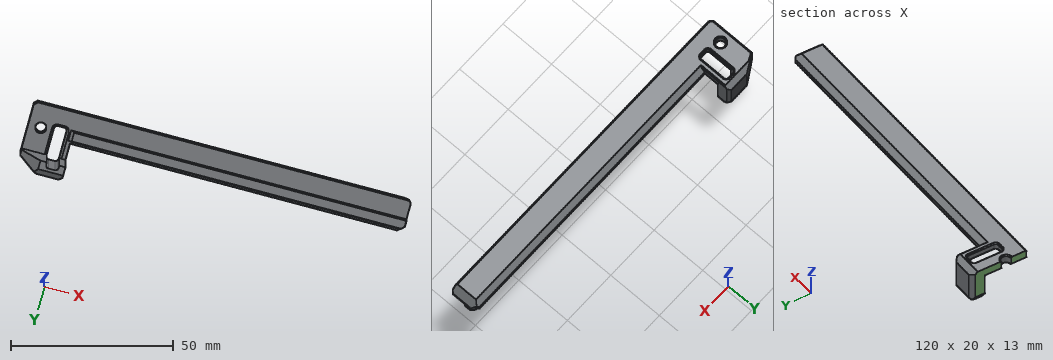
import cadquery as cq

LENGTH = 120.0
HEIGHT = 13.0
PLATE_THICKNESS = 3.0

RAIL_OVERHANG = 0.1
BAR_END_X = LENGTH - RAIL_OVERHANG
BAR_WIDTH = 10.0
HEAD_LENGTH = 14.0
HEAD_WIDTH = 20.0

EDGE_CHAMFER = 0.4
FRONT_CORNER_CHAMFER = 1.0
REAR_BEVEL_WIDTH = 2.0
REAR_BEVEL_DEPTH = 1.75
TIP_BEVEL = 2.5
TIP_FRONT_CORNER = 0.85
TIP_REAR_CORNER = 2.0
HEAD_REAR_CORNER = 1.0
HEAD_CUT_X = 6.0
HEAD_CUT_Y = 3.0

FOOT_DEPTH = 4.75
FOOT_TOE_X = 6.0
FOOT_TOE_HEIGHT = 8.0

SLOT_X_START = 8.0
SLOT_WIDTH = 4.0
SLOT_Y_START = 5.75
SLOT_Y_END = 17.0
SLOT_CORNER_RADIUS = 1.0
SLOT_LOWER_BEVEL = 0.7
HOLE_DIAMETER = 3.4
HOLE_X = 4.0
HOLE_Y = 7.5

RAIL_Y = HOLE_Y
RAIL_WIDTH = 3.4
RAIL_HEIGHT = 1.0
RAIL_CHAMFER = 0.3
RAIL_START_X = 13.2

FOOT_FRONT_Y = HEAD_WIDTH - FOOT_DEPTH


def prism_along_x(points, start, end):
    """Extrude a (Y, Z) outline from X = start to X = end."""
    return cq.Workplane("YZ", origin=(start, 0, 0)).polyline(points).close().extrude(end - start)


def prism_along_y(points, start, end):
    """Extrude an (X, Z) outline from Y = start to Y = end."""
    return cq.Workplane("XZ", origin=(0, start, 0)).polyline(points).close().extrude(start - end)


def make_bar():
    end_profile = [
        (0, -PLATE_THICKNESS),
        (BAR_WIDTH, -PLATE_THICKNESS),
        (BAR_WIDTH, -REAR_BEVEL_DEPTH),
        (BAR_WIDTH - REAR_BEVEL_WIDTH, 0),
        (EDGE_CHAMFER, 0),
        (0, -EDGE_CHAMFER),
    ]
    side_profile = [
        (0, 0),
        (BAR_END_X - TIP_BEVEL, 0),
        (BAR_END_X, -TIP_BEVEL),
        (BAR_END_X, -PLATE_THICKNESS),
        (0, -PLATE_THICKNESS),
    ]
    bar = prism_along_x(end_profile, HEAD_LENGTH - EDGE_CHAMFER, BAR_END_X)
    return bar.intersect(prism_along_y(side_profile, 0, BAR_WIDTH))


def make_head():
    head_profile = [
        (0, -PLATE_THICKNESS),
        (FOOT_FRONT_Y, -PLATE_THICKNESS),
        (FOOT_FRONT_Y, -HEIGHT),
        (HEAD_WIDTH - REAR_BEVEL_WIDTH, -HEIGHT),
        (HEAD_WIDTH, REAR_BEVEL_DEPTH - HEIGHT),
        (HEAD_WIDTH, -REAR_BEVEL_DEPTH),
        (HEAD_WIDTH - REAR_BEVEL_WIDTH, 0),
        (0, 0),
    ]
    side_profile = [
        (0, 0),
        (HEAD_LENGTH, 0),
        (HEAD_LENGTH, -HEIGHT),
        (FOOT_TOE_X, -HEIGHT),
        (0, FOOT_TOE_HEIGHT - HEIGHT),
    ]
    plan = [
        (FRONT_CORNER_CHAMFER, 0),
        (HEAD_LENGTH, 0),
        (HEAD_LENGTH, HEAD_WIDTH - HEAD_REAR_CORNER),
        (HEAD_LENGTH - HEAD_REAR_CORNER, HEAD_WIDTH),
        (HEAD_CUT_X, HEAD_WIDTH),
        (0, HEAD_WIDTH - HEAD_CUT_Y),
        (0, FRONT_CORNER_CHAMFER),
    ]
    head = prism_along_x(head_profile, 0, HEAD_LENGTH)
    head = head.intersect(prism_along_y(side_profile, 0, HEAD_WIDTH))
    outline = cq.Workplane("XY").polyline(plan).close().extrude(-HEIGHT)
    return head.intersect(outline.faces(">Z").chamfer(EDGE_CHAMFER))


def make_rail():
    rail = (
        cq.Workplane("XY", origin=(0, RAIL_Y - RAIL_WIDTH / 2, -PLATE_THICKNESS - RAIL_HEIGHT))
        .box(LENGTH - RAIL_START_X, RAIL_WIDTH, RAIL_HEIGHT, centered=False)
        .translate((RAIL_START_X, 0, 0))
    )
    rail = rail.edges("<Z and |X").chamfer(RAIL_CHAMFER)
    start_waste = [
        (RAIL_START_X, -PLATE_THICKNESS),
        (RAIL_START_X + RAIL_HEIGHT, -PLATE_THICKNESS - RAIL_HEIGHT),
        (RAIL_START_X, -PLATE_THICKNESS - RAIL_HEIGHT),
    ]
    return rail.cut(prism_along_y(start_waste, 0, BAR_WIDTH))


def trim_tip_corners(bar):
    """Cut the two vertical corners at the far end through bar and rail."""
    plan = [
        (0, 0),
        (LENGTH - TIP_FRONT_CORNER, 0),
        (LENGTH, TIP_FRONT_CORNER),
        (LENGTH, BAR_WIDTH - TIP_REAR_CORNER),
        (LENGTH - TIP_REAR_CORNER, BAR_WIDTH),
        (0, BAR_WIDTH),
    ]
    return bar.intersect(cq.Workplane("XY").polyline(plan).close().extrude(-HEIGHT))


def slot_prism(growth, top, depth):
    """Rounded slot outline, grown outward and extruded down from Z = top."""
    length = SLOT_Y_END - SLOT_Y_START
    return (
        cq.Workplane("XY", origin=(SLOT_X_START + SLOT_WIDTH / 2, SLOT_Y_START + length / 2, top))
        .rect(SLOT_WIDTH + 2 * growth, length + 2 * growth)
        .extrude(-depth)
        .edges("|Z")
        .fillet(SLOT_CORNER_RADIUS + growth)
    )


def make_slot_cutter():
    upper_rim = slot_prism(EDGE_CHAMFER, EDGE_CHAMFER, 2 * EDGE_CHAMFER)
    upper_rim = upper_rim.faces("<Z").chamfer(EDGE_CHAMFER)
    lower_rim = slot_prism(SLOT_LOWER_BEVEL, SLOT_LOWER_BEVEL - PLATE_THICKNESS, 2 * SLOT_LOWER_BEVEL)
    lower_rim = lower_rim.faces(">Z").chamfer(SLOT_LOWER_BEVEL)
    in_front_of_foot = cq.Workplane("XY").box(LENGTH, 2 * FOOT_FRONT_Y, 2 * HEIGHT)
    lower_rim = lower_rim.intersect(in_front_of_foot)
    return slot_prism(0, 0, HEIGHT).union(upper_rim).union(lower_rim)


def make_hole_cutter():
    radius = HOLE_DIAMETER / 2
    half_section = [
        (0, 0),
        (radius + EDGE_CHAMFER, 0),
        (radius, -EDGE_CHAMFER),
        (radius, -HEIGHT),
        (0, -HEIGHT),
    ]
    cutter = cq.Workplane("XZ").polyline(half_section).close().revolve(360, (0, 0), (0, 1))
    return cutter.translate((HOLE_X, HOLE_Y, 0))


arm = trim_tip_corners(make_bar().union(make_rail()))
body = arm.union(make_head())
result = body.cut(make_slot_cutter()).cut(make_hole_cutter())